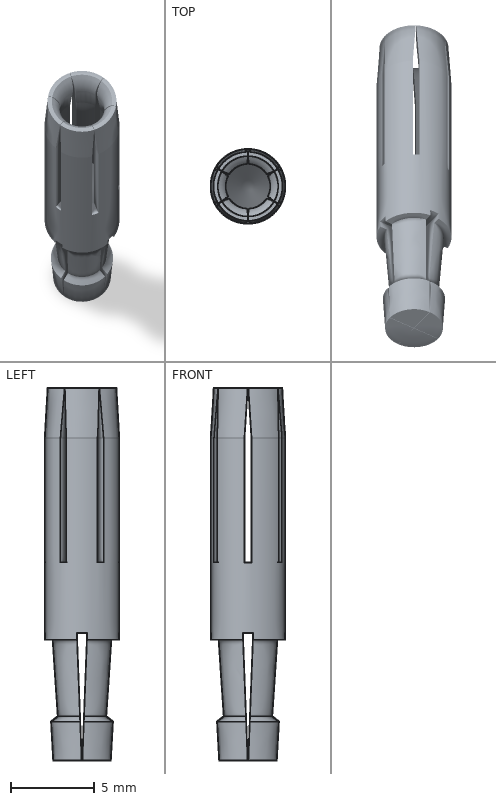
import cadquery as cq
import math

total_length = 22.35
mouth_taper_base_z = 19.38
finger_slot_base_z = 11.9
leg_slot_top_z = 7.65
shoulder_z = 7.25
neck_base_z = 2.65
collar_z = 2.35

body_diameter = 4.5
mouth_diameter = 4.13
neck_top_diameter = 3.58
neck_base_diameter = 2.93
collar_diameter = 3.73
tip_diameter = 3.46

lead_in_diameter = 3.62
lead_in_depth = 1.18
throat_diameter = 2.68
bore_diameter = 3.0
bore_wall_base_z = finger_slot_base_z
drill_point_angle = 118.0

finger_slot_count = 6
finger_slot_width = 0.4
finger_slot_mouth_width = 0.02

leg_count = 4
leg_slot_top_width = 0.6
leg_slot_tip_width = 0.02

cut_reach = body_diameter


def revolve_profile(points):
    """Turn a (radius, height) outline about the Z axis."""
    return cq.Workplane("XZ").polyline(points).close().revolve(360, (0, 0), (0, 1))


def make_body():
    return revolve_profile([
        (0, 0),
        (tip_diameter / 2, 0),
        (collar_diameter / 2, collar_z),
        (neck_base_diameter / 2, neck_base_z),
        (neck_top_diameter / 2, shoulder_z),
        (body_diameter / 2, shoulder_z),
        (body_diameter / 2, mouth_taper_base_z),
        (mouth_diameter / 2, total_length),
        (0, total_length),
    ])


def make_bore():
    bore_radius = bore_diameter / 2
    point_depth = bore_radius / math.tan(math.radians(drill_point_angle / 2))
    throat_radius = throat_diameter / 2
    throat_z = total_length - lead_in_depth
    lead_in_step = lead_in_diameter / 2 - throat_radius
    return (
        cq.Workplane("XZ")
        .moveTo(0, bore_wall_base_z - point_depth)
        .lineTo(bore_radius, bore_wall_base_z)
        .lineTo(bore_radius, mouth_taper_base_z)
        .lineTo(throat_radius, throat_z)
        .tangentArcPoint((lead_in_step, lead_in_depth))
        .lineTo(0, total_length)
        .close()
        .revolve(360, (0, 0), (0, 1))
    )


def radial_slot(half_outline, angle):
    """Cut from the axis out toward -Y, then turn it about Z.

    half_outline lists the (half width, height) points of one side, bottom to top.
    """
    other_side = [(-half_width, z) for half_width, z in reversed(half_outline)]
    slot = cq.Workplane("XZ").polyline(half_outline + other_side).close().extrude(cut_reach)
    return slot.rotate((0, 0, 0), (0, 0, 1), angle)


def cut_slots(solid, half_outline, count):
    for i in range(count):
        solid = solid.cut(radial_slot(half_outline, i * 360 / count))
    return solid


finger_slot_outline = [
    (finger_slot_width / 2, finger_slot_base_z),
    (finger_slot_width / 2, mouth_taper_base_z),
    (finger_slot_mouth_width / 2, total_length),
]
leg_slot_outline = [
    (leg_slot_tip_width / 2, 0),
    (leg_slot_top_width / 2, leg_slot_top_z),
]

result = make_body().cut(make_bore())
result = cut_slots(result, finger_slot_outline, finger_slot_count)
result = cut_slots(result, leg_slot_outline, leg_count)